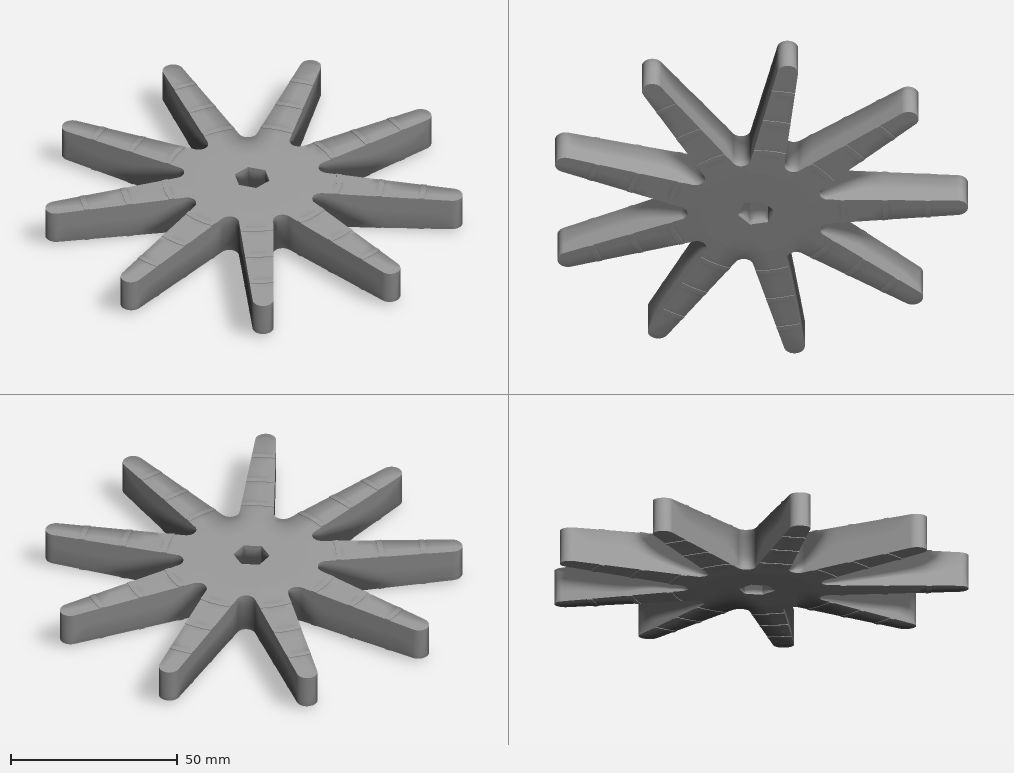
import cadquery as cq
import math

overall_width = 125.2
hub_thickness = 12.6
edge_thickness = 10.4
flat_face_radius = 16.9

arm_count = 9
arm_pitch = 360.0 / arm_count
arm_tip_radius = 3.1
arm_side_taper = 3.0
first_arm_angle = 90.0
root_valley_radius = 20.5

bore_across_flats = 9.4

ring_inner_radii = [25.4, 38.0, 50.8]
ring_width = 1.6
ring_height = 0.19

rim_clearance = 1.3

lean = math.radians(arm_pitch / 4.0)
tip_center_radius = (overall_width / 2.0 - arm_tip_radius) / math.cos(lean)
reach = tip_center_radius + arm_tip_radius

taper = math.radians(arm_side_taper)
side_offset = arm_tip_radius + tip_center_radius * math.sin(taper)

valley_half_angle = math.radians(arm_pitch / 2.0)
side_to_valley = math.sin(valley_half_angle + taper)
root_fillet = (root_valley_radius * side_to_valley - side_offset) / (1.0 - side_to_valley)
root_center_radius = root_valley_radius + root_fillet


def polar(radius, degrees):
    """Point at a radius and angle about the part axis."""
    angle = math.radians(degrees)
    return (radius * math.cos(angle), radius * math.sin(angle))


def offset_polar(center_radius, center_degrees, radius, degrees):
    """Point on a circle whose centre is itself placed by radius and angle."""
    cx, cy = polar(center_radius, center_degrees)
    dx, dy = polar(radius, degrees)
    return (cx + dx, cy + dy)


def star_blank():
    """Overthick plate with the outline of tapered, round-tipped arms joined by root arcs."""
    side_normal = 90.0 - arm_side_taper
    start_angle = first_arm_angle - side_normal
    start = offset_polar(tip_center_radius, first_arm_angle, arm_tip_radius, start_angle)
    outline = cq.Workplane("XY").moveTo(*start)
    for index in range(arm_count):
        arm = first_arm_angle + index * arm_pitch
        valley = arm + arm_pitch / 2.0
        next_arm = arm + arm_pitch
        left_side = arm + side_normal
        right_side = next_arm - side_normal
        tip_end = offset_polar(tip_center_radius, arm, arm_tip_radius, left_side)
        root_start = offset_polar(root_center_radius, valley, root_fillet, left_side + 180.0)
        root_end = offset_polar(root_center_radius, valley, root_fillet, right_side + 180.0)
        next_tip = offset_polar(tip_center_radius, next_arm, arm_tip_radius, right_side)
        outline = outline.threePointArc(polar(reach, arm), tip_end).lineTo(*root_start)
        outline = outline.threePointArc(polar(root_valley_radius, valley), root_end)
        if index < arm_count - 1:
            outline = outline.lineTo(*next_tip)
    return outline.close().extrude(hub_thickness, both=True)


def face_height(radius):
    """Height of the conical face above the mid-plane."""
    slope = (hub_thickness - edge_thickness) / 2.0 / (reach - flat_face_radius)
    return hub_thickness / 2.0 - slope * (radius - flat_face_radius)


def face_body():
    """Solid of revolution with flat hub faces and conical faces out past the arm tips."""
    rim = reach + rim_clearance
    upper = [
        (0.0, hub_thickness / 2.0),
        (flat_face_radius, hub_thickness / 2.0),
        (rim, face_height(rim)),
    ]
    lower = [(radius, -height) for radius, height in reversed(upper)]
    return cq.Workplane("XZ").polyline(upper + lower).close().revolve(360.0, (0, 0), (0, 1))


def graduation_ring(inner):
    """Ring through the full thickness, standing proud of both conical faces."""
    outer = inner + ring_width
    inner_top = face_height(inner) + ring_height
    outer_top = face_height(outer) + ring_height
    section = [(inner, inner_top), (outer, outer_top), (outer, -outer_top), (inner, -inner_top)]
    return cq.Workplane("XZ").polyline(section).close().revolve(360.0, (0, 0), (0, 1))


def hex_bore():
    """Through cutter with two corners on the X axis."""
    across_corners = bore_across_flats / math.cos(math.radians(30.0))
    return cq.Workplane("XY").polygon(6, across_corners).extrude(hub_thickness, both=True)


envelope = face_body()
for inner_radius in ring_inner_radii:
    envelope = envelope.union(graduation_ring(inner_radius))

result = star_blank().intersect(envelope).cut(hex_bore())